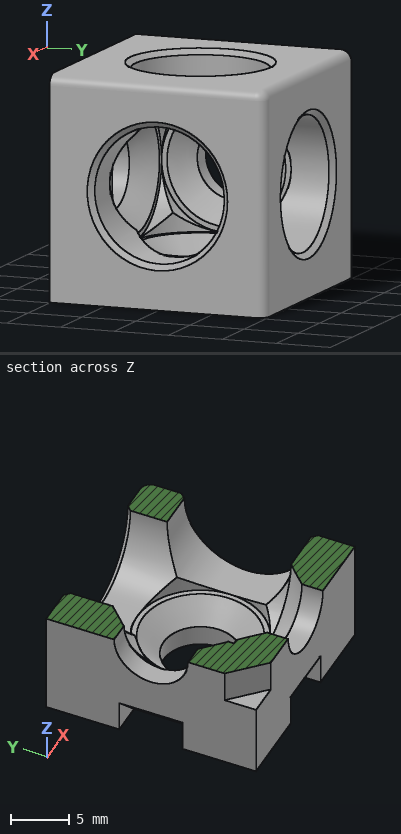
import cadquery as cq

SIDE = 20.0
HALF = SIDE / 2
CORNER_RADIUS = 1.0

THROUGH_DIAMETER = 7.0
SEAT_DIAMETER = 11.0
BORE_DIAMETER = 12.0
MOUTH_DIAMETER = 13.0
MOUTH_DEPTH = (MOUTH_DIAMETER - BORE_DIAMETER) / 2
BORE_FLOOR = -BORE_DIAMETER / 2
CONE_DEPTH = (SEAT_DIAMETER - THROUGH_DIAMETER) / 2

NOTCH_LENGTH = 6.0
NOTCH_LEG = 3.0


def make_body():
    """Cube with the three edges at its +X +Y +Z corner rounded."""
    cube = cq.Workplane("XY").box(SIDE, SIDE, SIDE)
    outer_edges = cube.faces(">X or >Y or >Z").edges("(>X and >Y) or (>X and >Z) or (>Y and >Z)")
    return outer_edges.fillet(CORNER_RADIUS)


def make_bore():
    """Solid of revolution about Z: through hole, cone, seat, wide bore and chamfered mouth."""
    through_radius = THROUGH_DIAMETER / 2
    bore_radius = BORE_DIAMETER / 2
    return (
        cq.Workplane("XZ")
        .moveTo(0, -HALF)
        .lineTo(through_radius, -HALF)
        .lineTo(through_radius, BORE_FLOOR - CONE_DEPTH)
        .lineTo(SEAT_DIAMETER / 2, BORE_FLOOR)
        .lineTo(bore_radius, BORE_FLOOR)
        .lineTo(bore_radius, HALF - MOUTH_DEPTH)
        .lineTo(MOUTH_DIAMETER / 2, HALF)
        .lineTo(0, HALF)
        .close()
        .revolve(360, (0, 0, 0), (0, 1, 0))
    )


def make_notch():
    """Triangular prism along Z that bevels the -X -Y edge."""
    return (
        cq.Workplane("XY", origin=(0, 0, -NOTCH_LENGTH / 2))
        .moveTo(-HALF, -HALF)
        .lineTo(-HALF + NOTCH_LEG, -HALF)
        .lineTo(-HALF, -HALF + NOTCH_LEG)
        .close()
        .extrude(NOTCH_LENGTH)
    )


result = make_body()
for turn in (0, 120, 240):
    for cutter in (make_bore(), make_notch()):
        result = result.cut(cutter.rotate((0, 0, 0), (1, 1, 1), turn))